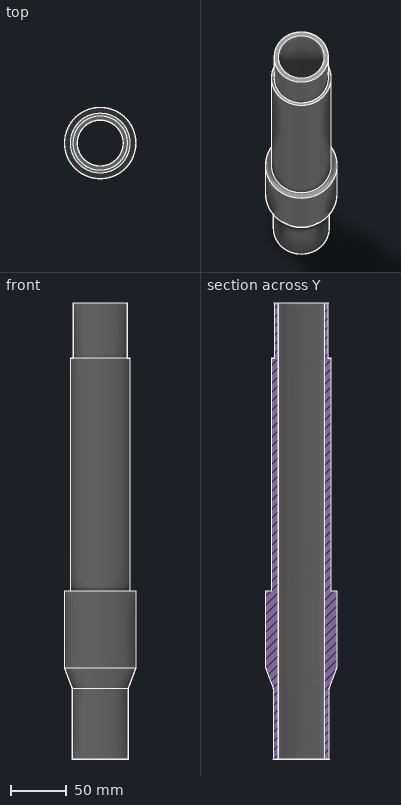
import cadquery as cq

length = 408
top_pipe_diameter = 48.5
sleeve_diameter = 53.5
collar_diameter = 64.0
bottom_pipe_diameter = 50.0
bore_diameter = 41

bottom_pipe_length = 63.2
taper_length = 18.5
collar_length = 69.0
sleeve_length = 208

taper_base = bottom_pipe_length
collar_base = taper_base + taper_length
sleeve_base = collar_base + collar_length
top_pipe_base = sleeve_base + sleeve_length

bore_radius = bore_diameter / 2
bottom_radius = bottom_pipe_diameter / 2
collar_radius = collar_diameter / 2
sleeve_radius = sleeve_diameter / 2
top_radius = top_pipe_diameter / 2

profile = [
    (bore_radius, 0),
    (bottom_radius, 0),
    (bottom_radius, taper_base),
    (collar_radius, collar_base),
    (collar_radius, sleeve_base),
    (sleeve_radius, sleeve_base),
    (sleeve_radius, top_pipe_base),
    (top_radius, top_pipe_base),
    (top_radius, length),
    (bore_radius, length),
]

result = cq.Workplane("XZ").polyline(profile).close().revolve(360, (0, 0), (0, 1))